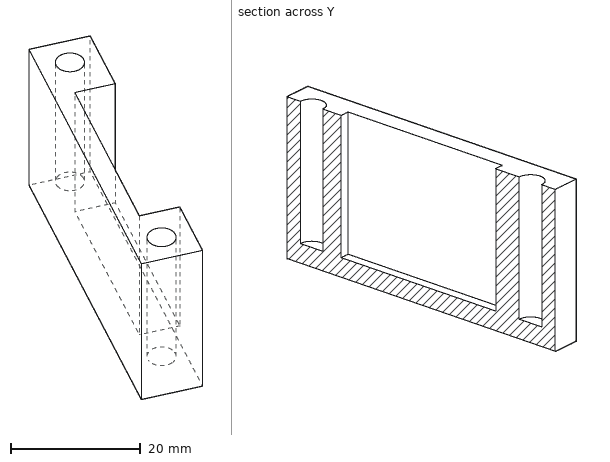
import cadquery as cq

length = 54.0
thickness = 10.0
height = 27.5

recess_left = 12.05
recess_width = 31.0
front_wall = 3.4
floor_thickness = front_wall

hole_diameter = 4.5
hole_end_distance = thickness / 2
hole_depth = height - floor_thickness


def make_block():
    return cq.Workplane("XY").box(length, thickness, height, centered=False)


def make_recess():
    return (
        cq.Workplane("XY")
        .box(recess_width, thickness - front_wall, height - floor_thickness, centered=False)
        .translate((recess_left, front_wall, floor_thickness))
    )


def make_holes():
    centres = [(x, thickness / 2) for x in (hole_end_distance, length - hole_end_distance)]
    return (
        cq.Workplane("XY", origin=(0, 0, height))
        .pushPoints(centres)
        .circle(hole_diameter / 2)
        .extrude(-hole_depth)
    )


result = make_block().cut(make_recess()).cut(make_holes())